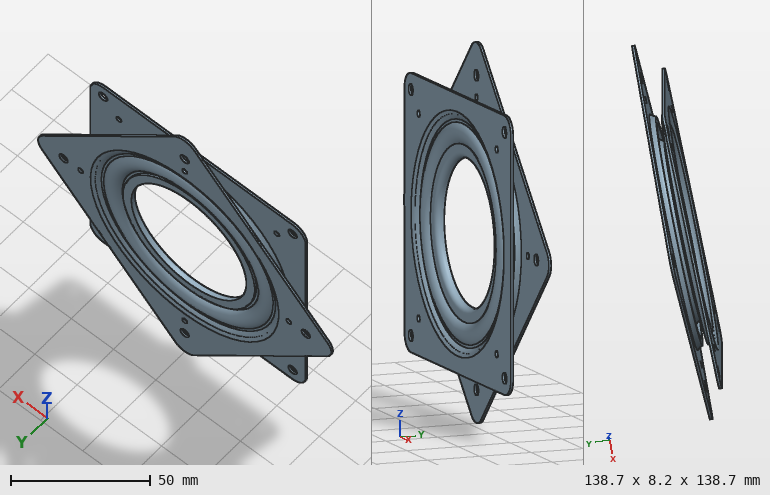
import cadquery as cq
import math

overall_span = 138.7
total_depth = 8.2
sheet = 1.0
plate_side = 101.8
half_depth = total_depth / 2

corner_radius = (plate_side * math.sqrt(2) - overall_span) / (2 * (math.sqrt(2) - 1))

mount_diameter = 4.0
pilot_diameter = 2.4
front_mount_offset = 44.8
front_pilot_offset = 37.3
rear_mount_offset = 40.5
rear_pilot_offset = 34.8

press_outer_radius = 44.5
press_floor_radius = 41.2
press_back_outer_radius = 43.1
wall_bend_radius = 42.3
press_back_floor_radius = 41.9
bead_outer_radius = 40.1
bead_inner_radius = 32.3
bead_mid_radius = (bead_outer_radius + bead_inner_radius) / 2
race_outer_radius = 39.4
race_inner_radius = 32.7

race_level = 1.04
wall_bend_level = 2.0
shoulder_level = 3.6
bead_clearance = 0.5
bead_level = half_depth - bead_clearance
front_land_level = 0.5
rear_land_level = -0.1

bore_radius = 27.2
lip_radius = 2.1
land_inner_radius = bore_radius + lip_radius
rear_lip_radius = 62.3 / 2


def corner_holes(offset, diameter):
    """Four through cutters on the corners of a square."""
    return (
        cq.Workplane("XZ", origin=(0, half_depth, 0))
        .rect(2 * offset, 2 * offset, forConstruction=True)
        .vertices()
        .circle(diameter / 2)
        .extrude(total_depth)
    )


def pressed_ring(land_level):
    """Front-facing ring with outer step, ball-race bead and inner land."""
    land_face = -land_level - sheet
    return (
        cq.Workplane("XY")
        .moveTo(press_outer_radius, -half_depth)
        .threePointArc(
            (press_back_outer_radius, -shoulder_level),
            (press_floor_radius, -race_level - sheet),
        )
        .lineTo(bead_outer_radius, -race_level - sheet)
        .threePointArc((bead_mid_radius, -bead_level), (bead_inner_radius, land_face))
        .lineTo(land_inner_radius, land_face)
        .lineTo(land_inner_radius, -land_level)
        .lineTo(race_inner_radius, -land_level)
        .threePointArc((bead_mid_radius, sheet - bead_level), (race_outer_radius, -race_level))
        .lineTo(press_back_floor_radius, -race_level)
        .lineTo(wall_bend_radius, -wall_bend_level)
        .lineTo(press_back_outer_radius, sheet - half_depth)
        .lineTo(press_outer_radius, sheet - half_depth)
        .close()
        .revolve(360, (0, 0, 0), (0, 1, 0))
    )


def pressed_plate(mount_offset, pilot_offset, land_level):
    """Square front plate with its holes and pressed ring."""
    plate = (
        cq.Workplane("XZ", origin=(0, sheet - half_depth, 0))
        .rect(plate_side, plate_side)
        .extrude(sheet)
        .edges("|Y")
        .fillet(corner_radius)
    )
    opening = (
        cq.Workplane("XZ", origin=(0, half_depth, 0))
        .circle(press_outer_radius)
        .extrude(total_depth)
    )
    plate = plate.cut(opening).union(pressed_ring(land_level))
    plate = plate.cut(corner_holes(mount_offset, mount_diameter))
    return plate.cut(corner_holes(pilot_offset, pilot_diameter))


def eyelet():
    """Bore tube with a rounded front mouth and a lip behind the rear land."""
    front_face = -front_land_level - sheet
    lip_seat = rear_land_level + sheet
    lip_back = lip_seat + sheet
    diagonal = lip_radius * math.sqrt(0.5)
    mouth_end = front_face + lip_radius
    mouth_middle = (land_inner_radius - diagonal, mouth_end - diagonal)
    return (
        cq.Workplane("XY")
        .moveTo(land_inner_radius, front_face)
        .threePointArc(mouth_middle, (bore_radius, mouth_end))
        .lineTo(bore_radius, lip_back)
        .lineTo(rear_lip_radius, lip_back)
        .lineTo(rear_lip_radius, lip_seat)
        .lineTo(land_inner_radius, lip_seat)
        .close()
        .revolve(360, (0, 0, 0), (0, 1, 0))
    )


front_plate = pressed_plate(front_mount_offset, front_pilot_offset, front_land_level)

rear_plate = (
    pressed_plate(rear_mount_offset, rear_pilot_offset, rear_land_level)
    .rotate((0, 0, 0), (0, 0, 1), 180)
    .rotate((0, 0, 0), (0, 1, 0), 45)
)

result = front_plate.union(rear_plate).union(eyelet())